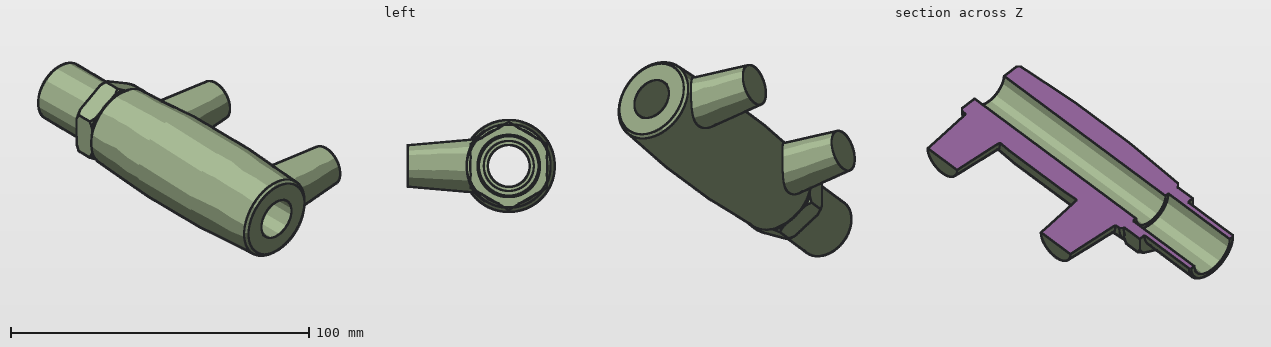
import cadquery as cq
import math

total_length = 105.0
bore_diameter = 14.0

tube_diameter = 21.0
tube_chamfer = 0.5
tube_bore_diameter = 16.8

hex_start = 21.5
hex_across_flats = 25.5
hex_turn = 30.0
hex_face_diameter = 27.6
hex_chamfer_length = 0.9

barrel_start = 28.9
barrel_diameter = 31.0
barrel_end_diameter = 28.1
barrel_chamfer = 1.0

spigot_tip_y = 33.9
spigot_tip_diameter = 14.0
spigot_taper = 5.0
first_spigot_x = 40.3
spigot_spacing = 53.3

barrel_length = total_length - barrel_start


def cylinder(start, end, diameter):
    """Solid cylinder on the main axis."""
    return cq.Workplane("YZ", origin=(start, 0, 0)).circle(diameter / 2).extrude(end - start)


def revolve_about_x(profile):
    """Solid of revolution from an open profile that starts and ends on the main axis."""
    return profile.close().revolve(360, (0, 0, 0), (1, 0, 0))


def make_tube():
    tube = cylinder(0, barrel_start, tube_diameter)
    return tube.faces("<X").chamfer(tube_chamfer)


def make_hex():
    """Hexagon with two flats facing +Y and -Y and its corners turned off at both faces."""
    length = barrel_start - hex_start
    across_corners = hex_across_flats / math.cos(math.radians(hex_turn))
    prism = (
        cq.Workplane("YZ", origin=(hex_start, 0, 0))
        .polygon(6, across_corners)
        .extrude(length)
        .rotate((0, 0, 0), (1, 0, 0), hex_turn)
    )
    corner_step = (across_corners - hex_face_diameter) / 2
    turned = cylinder(hex_start, barrel_start, across_corners)
    turned = turned.faces("<X or >X").chamfer(hex_chamfer_length, corner_step)
    return prism.intersect(turned)


def make_barrel():
    """Barrel with a straight middle, conical outer stretches and chamfered ends."""
    radius = barrel_diameter / 2
    end_radius = barrel_end_diameter / 2
    face_radius = end_radius - barrel_chamfer
    left_shoulder = barrel_start + barrel_length / 3
    right_shoulder = total_length - barrel_length / 3
    right_edge = total_length - barrel_chamfer
    left_edge = barrel_start + barrel_chamfer
    profile = (
        cq.Workplane("XY")
        .moveTo(barrel_start, 0)
        .lineTo(barrel_start, face_radius)
        .lineTo(left_edge, end_radius)
        .lineTo(left_shoulder, radius)
        .lineTo(right_shoulder, radius)
        .lineTo(right_edge, end_radius)
        .lineTo(total_length, face_radius)
        .lineTo(total_length, 0)
    )
    return revolve_about_x(profile)


def make_spigot(x):
    """Cone frustum from the main axis out to the spigot tip."""
    tip_radius = spigot_tip_diameter / 2
    base_radius = tip_radius + spigot_tip_y * math.tan(math.radians(spigot_taper))
    return cq.Workplane(cq.Solid.makeCone(
        base_radius, tip_radius, spigot_tip_y, pnt=cq.Vector(x, 0, 0), dir=cq.Vector(0, 1, 0)
    ))


def make_bore():
    """Through bore, wider along the tube and collar up to the barrel."""
    through_bore = cylinder(0, total_length, bore_diameter)
    tube_bore = cylinder(0, barrel_start, tube_bore_diameter)
    return through_bore.union(tube_bore)


body = make_tube().union(make_hex()).union(make_barrel())
for spigot_index in range(2):
    body = body.union(make_spigot(first_spigot_x + spigot_index * spigot_spacing))

result = body.cut(make_bore())